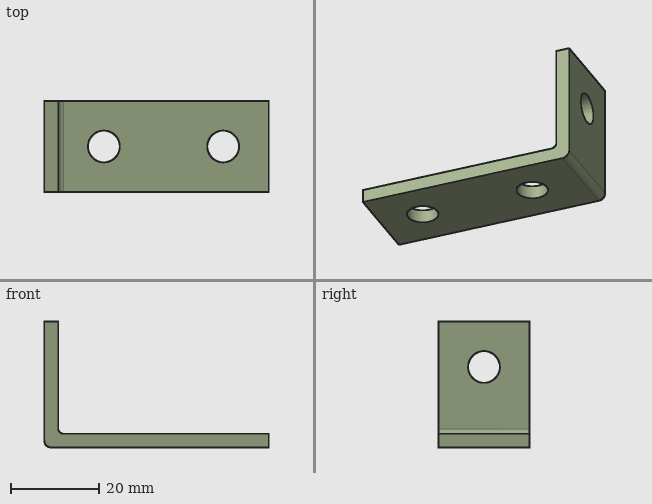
import cadquery as cq

base_length = 50.8
leg_height = 28.575
width = 20.6375
thickness = 3.175
outer_bend_radius = 1.5875
inner_bend_radius = 1.15
hole_diameter = 7.14375
base_hole_spacing = 26.9875

hole_edge_distance = width / 2
far_hole_x = base_length - hole_edge_distance
near_hole_x = far_hole_x - base_hole_spacing
leg_hole_z = leg_height - hole_edge_distance


def make_angle():
    """L-shaped strip, centred on Y, with its outer corner at X = Z = 0."""
    base = cq.Workplane("XY").box(base_length, width, thickness, centered=(False, True, False))
    leg = cq.Workplane("XY").box(thickness, width, leg_height, centered=(False, True, False))
    angle = base.union(leg)
    inner_corner = cq.selectors.NearestToPointSelector((thickness, 0, thickness))
    angle = angle.edges(inner_corner).fillet(inner_bend_radius)
    return angle.edges("<X and <Z").fillet(outer_bend_radius)


def hole_cutter(centre, direction):
    """Cylinder through one plate, starting on the plate's outer face."""
    return cq.Solid.makeCylinder(
        hole_diameter / 2, thickness, cq.Vector(*centre), cq.Vector(*direction)
    )


result = make_angle()
for hole_x in (near_hole_x, far_hole_x):
    result = result.cut(hole_cutter((hole_x, 0, 0), (0, 0, 1)))
result = result.cut(hole_cutter((0, 0, leg_hole_z), (1, 0, 0)))